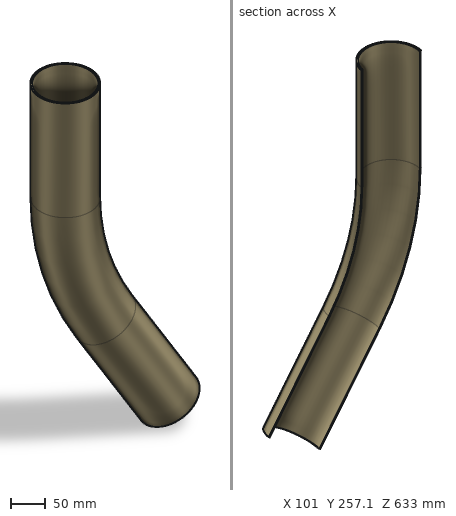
import cadquery as cq
import math

total_height = 633.0
outer_diameter = 101.0
inner_diameter = 95.5
leg_length = 202.5
bend_angle = 30.0

angle = math.radians(bend_angle)
sloping_leg_rise = leg_length * math.cos(angle)
end_face_rise = outer_diameter / 2 * math.sin(angle)
bend_rise = total_height - leg_length - sloping_leg_rise - end_face_rise
bend_radius = bend_rise / math.sin(angle)


def point_on_bend(turned):
    """Centreline point (Y, Z) after turning by an angle from the top of the bend."""
    return (
        bend_radius * (1 - math.cos(turned)),
        total_height - leg_length - bend_radius * math.sin(turned),
    )


bend_end_y, bend_end_z = point_on_bend(angle)
centreline = (
    cq.Workplane("YZ")
    .moveTo(0, total_height)
    .lineTo(*point_on_bend(0))
    .threePointArc(point_on_bend(angle / 2), (bend_end_y, bend_end_z))
    .lineTo(bend_end_y + leg_length * math.sin(angle), bend_end_z - sloping_leg_rise)
)

result = (
    cq.Workplane("XY", origin=(0, 0, total_height))
    .circle(outer_diameter / 2)
    .circle(inner_diameter / 2)
    .sweep(centreline)
)